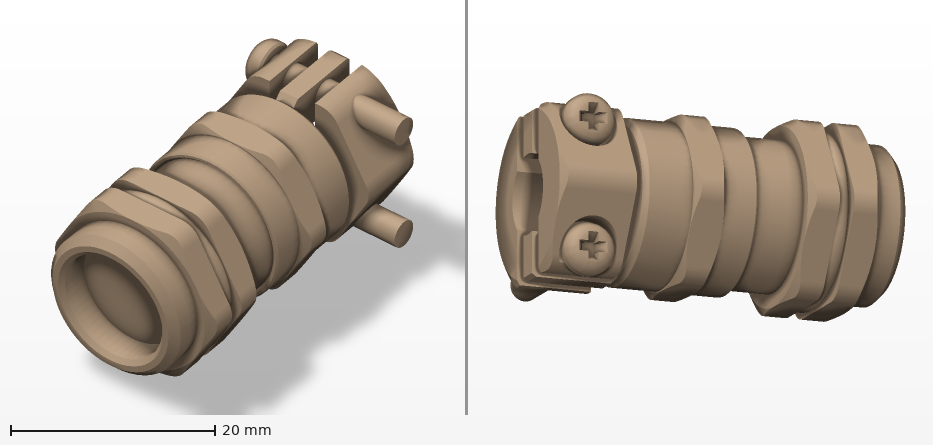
import cadquery as cq
import math


thread_end = 3.5
nut_width = 3.0
seal_gap = 1.5
sleeve_front = 15.97
grip_front = 19.5
grip_back = 22.9
sleeve_back = 28.0
jaw_front = 29.17
total_length = 36.97
front_nut_back = thread_end + nut_width
back_nut_front = front_nut_back + seal_gap
back_nut_back = back_nut_front + nut_width

nut_flats = 18.0
grip_flats = 17.0
corner_radius = 2.5
hex_half_sector = math.radians(30)
hex_chamfer_angle = math.radians(30)

thread_diameter = 16.0
thread_chamfer = 0.85
pipe_diameter = 15.2
seal_diameter = 18.2
seal_section_diameter = 1.77
seal_crest_to_back_nut = 0.65
bore_diameter = 12.0
bore_chamfer = 0.48
bore_depth = 3.5

sleeve_diameter = 16.7
sleeve_back_chamfer = 0.55
sleeve_front_chamfer = 0.2
socket_chamfer = 0.3
cable_diameter = 8.15

slot_half_width = 2.8
blade_thickness = 2.18
blade_neck_length = 0.65
blade_back_length = 0.48
blade_back_drop = 0.35
groove_depth = 0.63
groove_y = 28.35

screw_y = 32.98
screw_z = 6.5
shank_diameter = 3.0
clearance_diameter = 3.2
screw_tip_x = 10.87
head_diameter = 5.3
head_flat_diameter = 2.4
head_top_x = -7.43
head_rim_x = -6.17
head_seat_x = -5.15
head_seat_chamfer = 0.22
seat_diameter = 6.0
recess_span = 3.0
recess_arm_width = 1.07
recess_floor_span = 1.35
recess_depth = 1.4


def revolved(outline):
    """Solid of revolution about Y from (radius, y) points."""
    return cq.Workplane("XY").polyline(outline).close().revolve(360, (0, 0, 0), (0, 1, 0))


def hex_prism(flats, y_front, y_back, chamfer_front, chamfer_back):
    """Hexagon with rounded corners on +X and -X, optionally chamfered by a cone at each end."""
    sharp_diameter = flats / math.cos(hex_half_sector)
    prism = (
        cq.Workplane("XZ", origin=(0, y_back, 0))
        .polygon(6, sharp_diameter)
        .extrude(y_back - y_front)
        .edges("|Y")
        .fillet(corner_radius)
    )
    flat_radius = flats / 2
    outer_radius = sharp_diameter / 2
    chamfer_length = (outer_radius - flat_radius) * math.tan(hex_chamfer_angle)
    outline = [(0, y_front)]
    if chamfer_front:
        outline += [(flat_radius, y_front), (outer_radius, y_front + chamfer_length)]
    else:
        outline += [(outer_radius, y_front)]
    if chamfer_back:
        outline += [(outer_radius, y_back - chamfer_length), (flat_radius, y_back)]
    else:
        outline += [(outer_radius, y_back)]
    outline += [(0, y_back)]
    return prism.intersect(revolved(outline))


def make_gland_body():
    thread_radius = thread_diameter / 2
    pipe_radius = pipe_diameter / 2
    seal_outer = seal_diameter / 2
    seal_section_radius = seal_section_diameter / 2
    seal_ring_radius = seal_outer - seal_section_radius
    seal_crest_y = back_nut_front - seal_crest_to_back_nut
    seal_front_radius = seal_ring_radius + math.sqrt(
        seal_section_radius**2 - (seal_crest_y - front_nut_back) ** 2
    )
    seal_back_radius = seal_ring_radius + math.sqrt(
        seal_section_radius**2 - seal_crest_to_back_nut**2
    )
    core = (
        cq.Workplane("XY")
        .moveTo(0, 0)
        .lineTo(thread_radius - thread_chamfer, 0)
        .lineTo(thread_radius, thread_chamfer)
        .lineTo(thread_radius, front_nut_back)
        .lineTo(seal_front_radius, front_nut_back)
        .threePointArc((seal_outer, seal_crest_y), (seal_back_radius, back_nut_front))
        .lineTo(pipe_radius, back_nut_front)
        .lineTo(pipe_radius, grip_back)
        .lineTo(0, grip_back)
        .close()
        .revolve(360, (0, 0, 0), (0, 1, 0))
    )
    front_nut = hex_prism(nut_flats, thread_end, front_nut_back, True, False)
    back_nut = hex_prism(nut_flats, back_nut_front, back_nut_back, False, True)
    bore_radius = bore_diameter / 2
    bore = revolved(
        [
            (0, 0),
            (bore_radius + bore_chamfer, 0),
            (bore_radius, bore_chamfer),
            (bore_radius, bore_depth),
            (0, bore_depth),
        ]
    )
    return core.union(front_nut).union(back_nut).cut(bore)


def make_sleeve():
    outer = sleeve_diameter / 2
    socket = pipe_diameter / 2
    cable = cable_diameter / 2
    tube = revolved(
        [
            (socket + socket_chamfer, sleeve_front),
            (outer - sleeve_front_chamfer, sleeve_front),
            (outer, sleeve_front + sleeve_front_chamfer),
            (outer, sleeve_back - sleeve_back_chamfer),
            (outer - sleeve_back_chamfer, sleeve_back),
            (cable, sleeve_back),
            (cable, grip_back),
            (socket, grip_back),
            (socket, sleeve_front + socket_chamfer),
        ]
    )
    pipe_space = cq.Workplane("XZ", origin=(0, grip_back, 0)).circle(socket).extrude(grip_back)
    grip = hex_prism(grip_flats, grip_front, grip_back, True, True).cut(pipe_space)
    return tube.union(grip)


def make_jaws():
    slot = cq.Workplane("XZ", origin=(0, total_length, 0)).rect(2 * slot_half_width, 2 * grip_flats)
    slot = slot.extrude(total_length - jaw_front)
    return hex_prism(grip_flats, jaw_front, total_length, False, True).cut(slot)


def make_blade():
    half_height = grip_flats / 2
    outline = [
        (sleeve_back, half_height - blade_neck_length),
        (sleeve_back + blade_neck_length, half_height),
        (total_length - blade_back_length, half_height),
        (total_length, half_height - blade_back_drop),
    ]
    mirrored = [(y, -z) for y, z in reversed(outline)]
    return (
        cq.Workplane("YZ", origin=(-blade_thickness / 2, 0, 0))
        .polyline(outline + mirrored)
        .close()
        .extrude(blade_thickness)
    )


def make_cable_passage():
    cable = cable_diameter / 2
    return revolved(
        [
            (0, sleeve_back),
            (cable + groove_depth - (groove_y - sleeve_back), sleeve_back),
            (cable + groove_depth, groove_y),
            (cable, groove_y + groove_depth),
            (cable, total_length),
            (0, total_length),
        ]
    )


def rod_along_x(diameter, x_start, x_end, z):
    """Cylinder along X on a screw's axis."""
    base = cq.Workplane("YZ", origin=(x_start, screw_y, z))
    return base.circle(diameter / 2).extrude(x_end - x_start)


def make_recess(z):
    half_span = recess_span / 2
    half_floor = recess_floor_span / 2
    floor_x = head_top_x + recess_depth
    outline = [
        (head_top_x, -half_span),
        (head_top_x, half_span),
        (floor_x, half_floor),
        (floor_x, -half_floor),
    ]
    arm = (
        cq.Workplane("XY", origin=(0, 0, -recess_arm_width / 2))
        .polyline(outline)
        .close()
        .extrude(recess_arm_width)
    )
    crossed_arm = arm.rotate((0, 0, 0), (1, 0, 0), 90)
    return arm.union(crossed_arm).translate((0, screw_y, z))


def make_screw(z):
    head_radius = head_diameter / 2
    flat_radius = head_flat_diameter / 2
    dome_height = head_rim_x - head_top_x
    dome_drop = head_radius - flat_radius
    dome_radius = (dome_height**2 + dome_drop**2) / (2 * dome_height)
    half_angle = math.asin(dome_drop / dome_radius) / 2
    dome_middle = (
        head_top_x + dome_radius * (1 - math.cos(half_angle)),
        flat_radius + dome_radius * math.sin(half_angle),
    )
    head = (
        cq.Workplane("XY")
        .moveTo(head_top_x, 0)
        .lineTo(head_top_x, flat_radius)
        .threePointArc(dome_middle, (head_rim_x, head_radius))
        .lineTo(head_seat_x - head_seat_chamfer, head_radius)
        .lineTo(head_seat_x, head_radius - head_seat_chamfer)
        .lineTo(head_seat_x, 0)
        .close()
        .revolve(360, (0, 0, 0), (1, 0, 0))
        .translate((0, screw_y, z))
    )
    shank = rod_along_x(shank_diameter, head_seat_x, screw_tip_x, z)
    return head.union(shank).cut(make_recess(z))


def make_clamp_nut():
    clamp = make_jaws().union(make_blade()).cut(make_cable_passage())
    screw_heights = (-screw_z, screw_z)
    for z in screw_heights:
        seat = rod_along_x(seat_diameter, -grip_flats, head_seat_x, z)
        clearance = rod_along_x(clearance_diameter, head_seat_x, -slot_half_width, z)
        clamp = clamp.cut(seat).cut(clearance)
    nut = make_sleeve().union(clamp)
    for z in screw_heights:
        nut = nut.union(make_screw(z))
    return nut


gland_body = make_gland_body()
clamp_nut = make_clamp_nut()

result = cq.Compound.makeCompound([gland_body.val(), clamp_nut.val()])